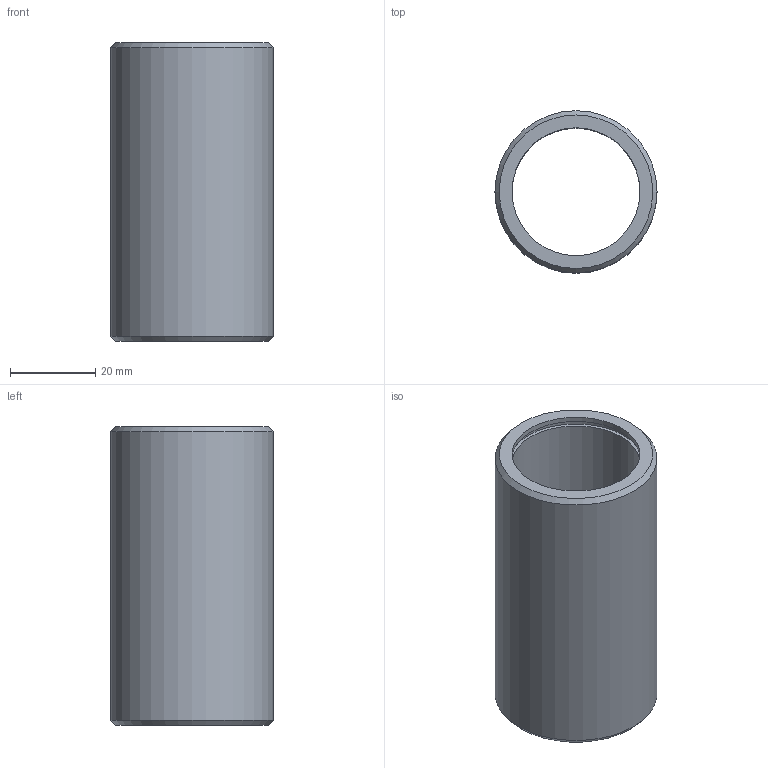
import cadquery as cq

length = 70.0
outer_radius = 19.0
bore_radius = 15.0

chamfer_radial = 1.0
chamfer_axial = 1.2

lip_height = 1.2
groove_width = 1.3
groove_depth = 0.8


def sleeve_body():
    """Bevelled tube, revolved from its half section."""
    rim_radius = outer_radius - chamfer_radial
    return (
        cq.Workplane("XZ")
        .moveTo(bore_radius, 0)
        .lineTo(rim_radius, 0)
        .lineTo(outer_radius, chamfer_axial)
        .lineTo(outer_radius, length - chamfer_axial)
        .lineTo(rim_radius, length)
        .lineTo(bore_radius, length)
        .close()
        .revolve(360, (0, 0, 0), (0, 1, 0))
    )


def groove_ring():
    """Ring of material removed from the bore wall to form the groove."""
    groove_floor = length - lip_height - groove_width
    return (
        cq.Workplane("XY")
        .workplane(offset=groove_floor)
        .circle(bore_radius + groove_depth)
        .circle(bore_radius)
        .extrude(groove_width)
    )


result = sleeve_body().cut(groove_ring())